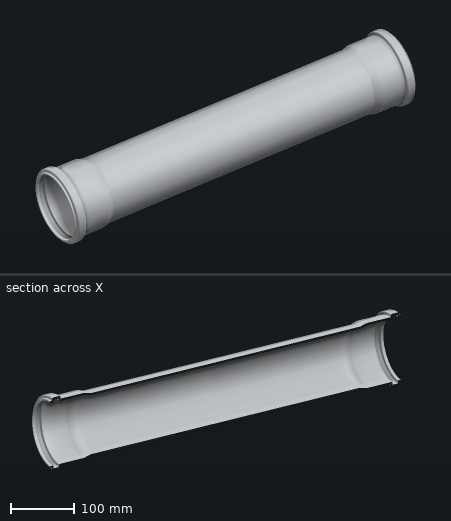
import cadquery as cq

LENGTH = 640.0

PIPE_OD = 110.3
PIPE_ID = 104.3

SOCKET_OD = 117.1
SOCKET_ID = 111.3
WALL = (SOCKET_OD - SOCKET_ID) / 2
SOCKET_LENGTH = 62.5
TAPER_LENGTH = 12.0
TAPER_END = SOCKET_LENGTH + TAPER_LENGTH

LIP_OD = 116.8
LIP_ID = LIP_OD - 2 * WALL
LIP_LENGTH = 3.5
LIP_ROUND = 1.0

BEAD_OD = 127.6
BEAD_END = 18.6
BEAD_ROUND = 2.7
BEAD_BLEND = 1.2

GROOVE_DIAMETER = BEAD_OD - 2 * WALL
GROOVE_START = 5.5
GROOVE_END = 16.0
GROOVE_ROUND = BEAD_BLEND
GROOVE_BLEND = BEAD_BLEND


def stepped_solid(mouth_diameter, collar_diameter, socket_diameter, pipe_diameter,
                  collar_start, collar_end, rim_round, foot_round):
    """Solid of revolution with the mouth, a collar, the socket, the taper and half of the pipe.

    The collar's two rims are rounded outward and its two feet are blended into the neighbours.
    """
    mouth = mouth_diameter / 2
    collar = collar_diameter / 2
    socket = socket_diameter / 2
    pipe = pipe_diameter / 2
    profile = (
        cq.Workplane("XY")
        .lineTo(mouth, 0)
        .lineTo(mouth, collar_start - foot_round)
        .radiusArc((mouth + foot_round, collar_start), foot_round)
        .lineTo(collar - rim_round, collar_start)
        .radiusArc((collar, collar_start + rim_round), -rim_round)
        .lineTo(collar, collar_end - rim_round)
        .radiusArc((collar - rim_round, collar_end), -rim_round)
        .lineTo(socket + foot_round, collar_end)
        .radiusArc((socket, collar_end + foot_round), foot_round)
        .lineTo(socket, SOCKET_LENGTH)
        .lineTo(pipe, TAPER_END)
        .lineTo(pipe, LENGTH / 2)
        .lineTo(0, LENGTH / 2)
        .close()
    )
    return profile.revolve(360, (0, 0, 0), (0, 1, 0))


def half_coupling():
    """One socket and half of the pipe, with the mouth at Y = 0."""
    outside = stepped_solid(
        LIP_OD, BEAD_OD, SOCKET_OD, PIPE_OD, LIP_LENGTH, BEAD_END, BEAD_ROUND, BEAD_BLEND
    )
    bore = stepped_solid(
        LIP_ID, GROOVE_DIAMETER, SOCKET_ID, PIPE_ID, GROOVE_START, GROOVE_END, GROOVE_ROUND, GROOVE_BLEND
    )
    return outside.cut(bore).faces("<Y").edges().fillet(LIP_ROUND)


def coupling():
    """Both halves joined at mid-length, centred on the origin."""
    near_half = half_coupling().translate((0, -LENGTH / 2, 0))
    far_half = near_half.mirror("XZ")
    return near_half.union(far_half, clean=True)


result = coupling()